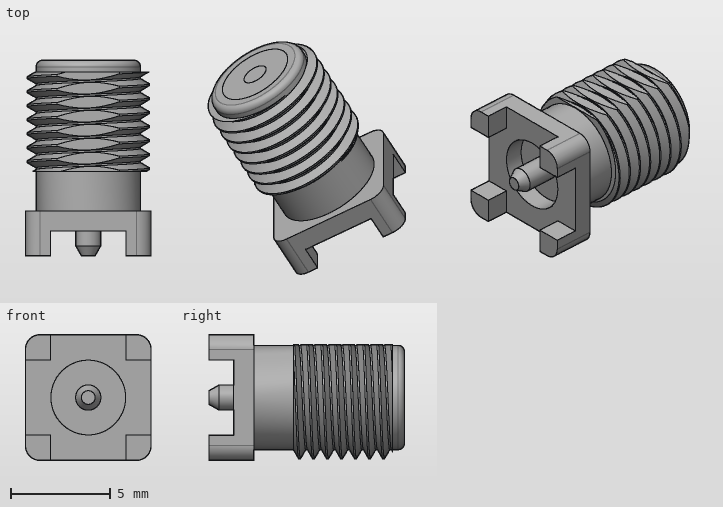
import cadquery as cq
import math

total_length = 9.87

flange_side = 6.35
flange_corner_radius = 0.75
foot_side = 1.28
foot_length = 1.25
flange_thickness = 1.02
flange_back = foot_length + flange_thickness

barrel_diameter = 5.27
barrel_end_fillet = 0.34
bore_diameter = 3.77

thread_start = 4.26
thread_end = 9.27
thread_pitch = 0.706
thread_diameter = 6.18
thread_flat_height = 2.66
crest_width = thread_pitch / 8
root_width = thread_pitch / 8
crest_position = 3.69
thread_turns = 9
ridge_overlap = 0.05

pin_diameter = 1.27
pin_tip_diameter = 0.69
pin_taper_length = 0.51


def cylinder(diameter, start, end):
    """Cylinder on the Y axis between two Y positions."""
    return cq.Workplane("XZ", origin=(0, start, 0)).circle(diameter / 2).extrude(start - end)


def make_flange():
    """Rounded square plate whose front is cut back to a cross, leaving the corner feet."""
    flange = cq.Workplane("XZ").rect(flange_side, flange_side).extrude(-flange_back)
    flange = flange.edges("|Y").fillet(flange_corner_radius)
    gap = flange_side - 2 * foot_side
    for width, height in ((flange_side, gap), (gap, flange_side)):
        flange = flange.cut(cq.Workplane("XZ").rect(width, height).extrude(-foot_length))
    return flange


def make_thread():
    """Helical ridge, trimmed square at both ends and flat at its top."""
    barrel_radius = barrel_diameter / 2
    crest_radius = thread_diameter / 2
    flank_slope = (thread_pitch - root_width - crest_width) / 2 / (crest_radius - barrel_radius)
    inner_radius = barrel_radius - ridge_overlap
    half_crest = crest_width / 2
    half_base = half_crest + flank_slope * (crest_radius - inner_radius)

    helix = cq.Wire.makeHelix(thread_pitch, thread_pitch * thread_turns, barrel_radius)
    ridge = (
        cq.Workplane("XZ")
        .polyline([
            (inner_radius, -half_base),
            (crest_radius, -half_crest),
            (crest_radius, half_crest),
            (inner_radius, half_base),
        ])
        .close()
        .sweep(cq.Workplane(helix), isFrenet=True)
        .rotate((0, 0, 0), (1, 0, 0), -90)
        .translate((0, crest_position, 0))
    )
    thread_length = thread_end - thread_start
    envelope = cq.Workplane("XY").box(
        2 * thread_diameter, thread_length, thread_diameter + thread_flat_height,
        centered=(True, False, False),
    ).translate((0, thread_start, -thread_diameter))
    return ridge.intersect(envelope)


def make_housing():
    """Flange, feet and threaded barrel in one piece, bored through."""
    barrel = cylinder(barrel_diameter, foot_length, total_length)
    barrel = barrel.faces(">Y").edges().fillet(barrel_end_fillet)
    housing = barrel.union(make_thread()).union(make_flange())
    return housing.cut(cylinder(bore_diameter, 0, total_length))


def make_insulator():
    """Sleeve filling the bore behind the flange, with a hole for the pin."""
    sleeve = cylinder(bore_diameter, flange_back, total_length)
    return sleeve.cut(cylinder(pin_diameter, 0, total_length))


def make_pin():
    """Round pin tapered at the solder end."""
    taper_angle = math.degrees(math.atan2((pin_diameter - pin_tip_diameter) / 2, pin_taper_length))
    tip = (
        cq.Workplane("XZ")
        .circle(pin_tip_diameter / 2)
        .extrude(-pin_taper_length, taper=-taper_angle)
    )
    return tip.union(cylinder(pin_diameter, pin_taper_length, total_length))


housing = make_housing()
insulator = make_insulator()
pin = make_pin()

bodies = [housing, insulator, pin]
result = cq.Compound.makeCompound([body.solids().val() for body in bodies])